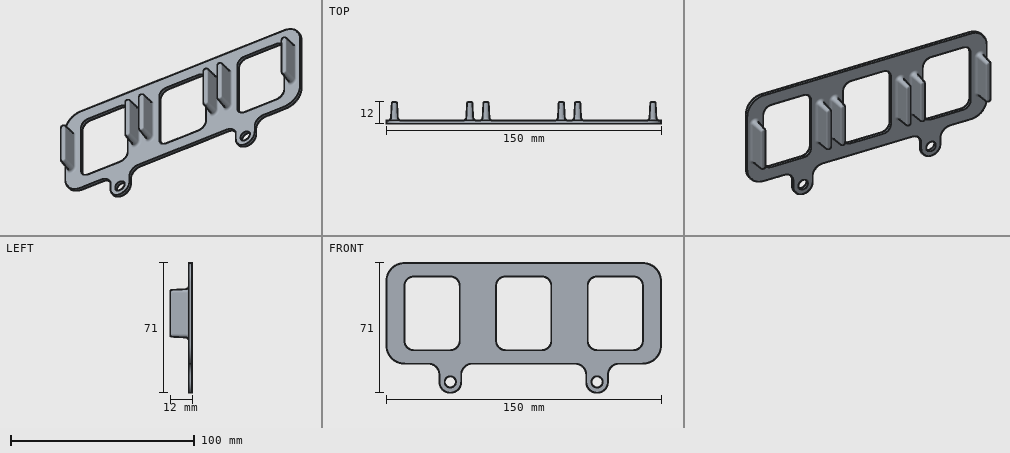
import cadquery as cq

plate_length = 150.0
plate_height = 55.0
plate_thickness = 2.0
plate_corner_radius = 10.0

window_width = 30.0
window_height = 40.0
window_corner_radius = 5.0
window_pitch = plate_length / 3
window_centers = [-window_pitch, 0, window_pitch]

overall_height = 71.0
tab_offset = 40.0
tab_radius = 6.0
tab_root_radius = 6.0
tab_hole_diameter = 6.0
tab_overlap = 3.0

overall_depth = 12.0
prong_offset = 20.5
prong_straight_height = 22.6
prong_base_thickness = 4.0
prong_draft_angle = 3.0
prong_root_radius = 1.5
prong_tip_radius = 0.9
root_search_margin = 0.2

prong_base_height = prong_straight_height + prong_base_thickness
prong_positions = [x + side * prong_offset for x in window_centers for side in (-1, 1)]

plate_bottom = -plate_height / 2
tab_hole_z = plate_height / 2 - overall_height + tab_radius


def back_facing_plane(y):
    """Plane at the given Y, with local x along +X, local y along -Z and normal +Y."""
    return cq.Workplane(cq.Plane(origin=(0, y, 0), xDir=(1, 0, 0), normal=(0, 1, 0)))


def rounded_block(width, height, corner_radius):
    """Plate-thick rectangle with rounded corners, centred on the origin in XZ."""
    return (
        back_facing_plane(0)
        .rect(width, height)
        .extrude(plate_thickness)
        .edges("|Y")
        .fillet(corner_radius)
    )


def mounting_tab(x):
    """Round-ended tab that flares into the plate's lower edge through concave root arcs."""
    flare = tab_radius + tab_root_radius
    straight_top = plate_bottom - tab_root_radius
    overlap_top = plate_bottom + tab_overlap
    outline = (
        cq.Workplane("XZ")
        .moveTo(x - flare, overlap_top)
        .lineTo(x - flare, plate_bottom)
        .radiusArc((x - tab_radius, straight_top), tab_root_radius)
        .lineTo(x - tab_radius, tab_hole_z)
        .threePointArc((x, tab_hole_z - tab_radius), (x + tab_radius, tab_hole_z))
        .lineTo(x + tab_radius, straight_top)
        .radiusArc((x + flare, plate_bottom), tab_root_radius)
        .lineTo(x + flare, overlap_top)
        .close()
    )
    hole = cq.Workplane("XZ").center(x, tab_hole_z).circle(tab_hole_diameter / 2)
    return outline.extrude(-plate_thickness).cut(hole.extrude(-plate_thickness))


def prong(x):
    """Round-ended prong with drafted sides and a rounded tip, rising from the back face."""
    return (
        back_facing_plane(plate_thickness)
        .center(x, 0)
        .slot2D(prong_base_height, prong_base_thickness, 90)
        .extrude(overall_depth - plate_thickness, taper=prong_draft_angle)
        .faces(">Y")
        .edges()
        .fillet(prong_tip_radius)
    )


def prong_root_edges(x):
    """Selector for the edges where the prong at the given X meets the back face."""
    half_x = prong_base_thickness / 2 + root_search_margin
    half_z = prong_base_height / 2 + root_search_margin
    return cq.selectors.BoxSelector(
        (x - half_x, plate_thickness - root_search_margin, -half_z),
        (x + half_x, plate_thickness + root_search_margin, half_z),
        boundingbox=True,
    )


body = rounded_block(plate_length, plate_height, plate_corner_radius)

for tab_x in (-tab_offset, tab_offset):
    body = body.union(mounting_tab(tab_x))

window = rounded_block(window_width, window_height, window_corner_radius)
for window_x in window_centers:
    body = body.cut(window.translate((window_x, 0, 0)))

for prong_x in prong_positions:
    body = body.union(prong(prong_x))
    body = body.edges(prong_root_edges(prong_x)).fillet(prong_root_radius)

result = body